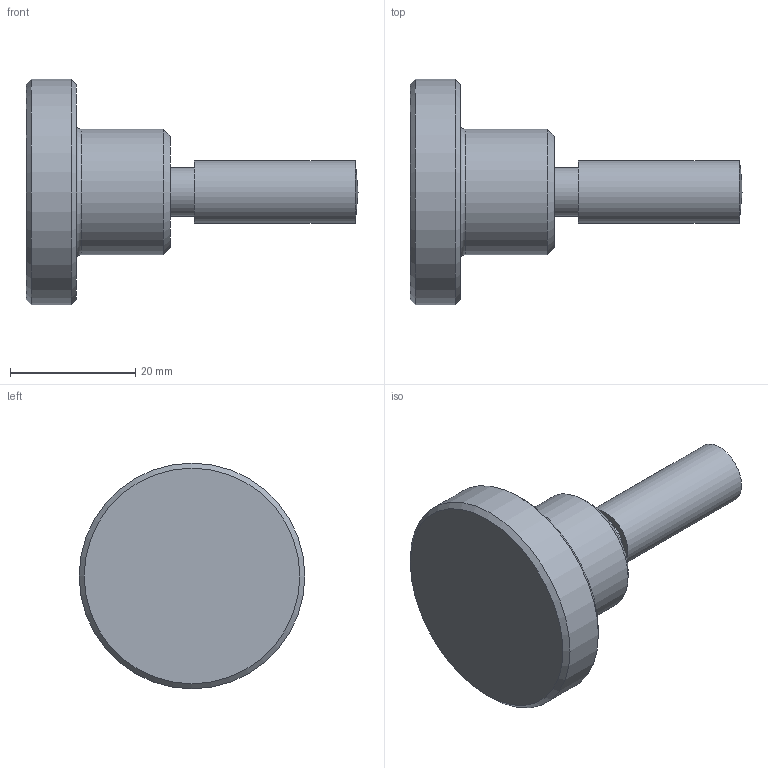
import cadquery as cq

head_diameter = 36.0
head_thickness = 8.0
head_chamfer = 0.8

hub_diameter = 20.0
hub_end = 23.0
hub_chamfer = 1.1
hub_root_fillet = 0.8

shank_diameter = 10.0
neck_diameter = 7.8
neck_length = 3.85
total_length = 52.94
tip_dome_height = 0.44

neck_end = hub_end + neck_length
shank_end = total_length - tip_dome_height


def cylinder_along_x(diameter, start, end):
    """Solid cylinder on the X axis from X = start to X = end."""
    return cq.Workplane("YZ", origin=(start, 0, 0)).circle(diameter / 2).extrude(end - start)


def make_head():
    """Disc with both rims chamfered."""
    return cylinder_along_x(head_diameter, 0, head_thickness).edges().chamfer(head_chamfer)


def make_hub():
    """Hub with a chamfered far rim and a concave flare where it meets the head."""
    radius = hub_diameter / 2
    flare_end = head_thickness + hub_root_fillet
    flare_radius = radius + hub_root_fillet
    hub_start = head_thickness / 2
    profile = (
        cq.Workplane("XY")
        .moveTo(hub_start, 0)
        .lineTo(hub_start, flare_radius)
        .lineTo(head_thickness, flare_radius)
        .radiusArc((flare_end, radius), -hub_root_fillet)
        .lineTo(hub_end - hub_chamfer, radius)
        .lineTo(hub_end, radius - hub_chamfer)
        .lineTo(hub_end, 0)
        .close()
    )
    return profile.revolve(360, (0, 0, 0), (1, 0, 0))


def make_shank():
    """Plain shank with a shallow domed tip."""
    radius = shank_diameter / 2
    dome_radius = (radius**2 + tip_dome_height**2) / (2 * tip_dome_height)
    profile = (
        cq.Workplane("XY")
        .moveTo(neck_end, 0)
        .lineTo(neck_end, radius)
        .lineTo(shank_end, radius)
        .radiusArc((total_length, 0), dome_radius)
        .close()
    )
    return profile.revolve(360, (0, 0, 0), (1, 0, 0))


neck = cylinder_along_x(neck_diameter, hub_end, neck_end)
result = make_head().union(make_hub()).union(neck).union(make_shank())